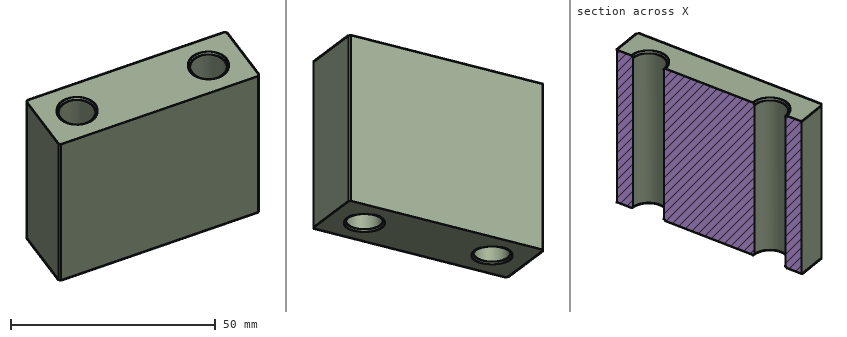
import cadquery as cq

width = 18.0
length = 55.0
height = 45.0
corner_chamfer = 0.5

hole_diameter = 9.0
hole_spacing = 36.0
hole_chamfer = 0.5

block = (
    cq.Workplane("XY")
    .box(width, length, height)
    .edges("|Z")
    .chamfer(corner_chamfer)
)

result = (
    block.faces(">Z")
    .workplane()
    .pushPoints([(0, -hole_spacing / 2), (0, hole_spacing / 2)])
    .hole(hole_diameter)
    .edges("%CIRCLE")
    .chamfer(hole_chamfer)
)